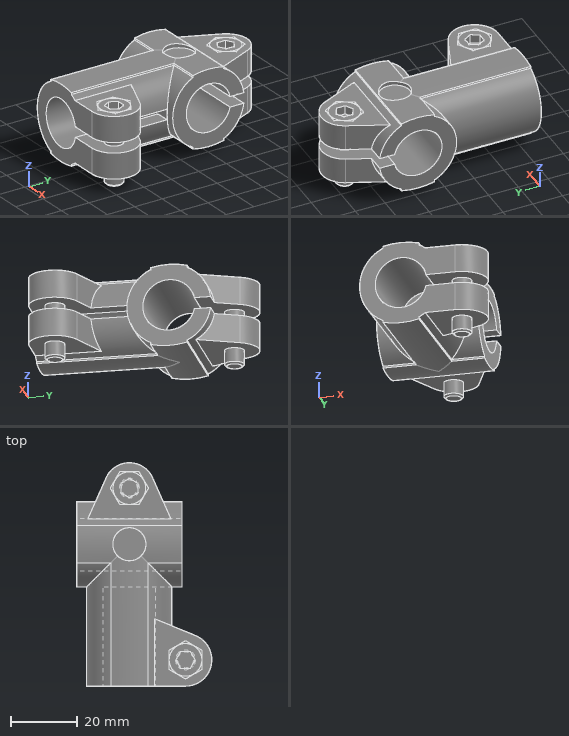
import cadquery as cq
import math

tube_radius = 13.0
bore_radius = 8.05
cross_half_length = 16.0
stem_end = -43.0
stem_bore_end = -tube_radius

strip_half_width = 5.6
strip_edge_height = 12.3

recess_diameter = 10.0
recess_floor = 11.5

lug_half_height = 10.5
slot_width = 3.5
bolt_offset = 17.0
cross_lug_radius = 7.7
stem_lug_radius = 8.0
stem_lug_width = 23.6

shank_diameter = 6.0
bolt_bottom = -15.5
bolt_chamfer = 0.6
head_diameter = 9.9
head_height = 6.0
pocket_flats = 10.0
socket_flats = 5.1
socket_depth = 3.0

cross_bolt = (0, bolt_offset)
stem_bolt = (bolt_offset, stem_end + stem_lug_radius)


def tube(plane, length):
    """Solid tube with its crowned top and bottom strips, extruded along the plane normal."""
    body = cq.Workplane(plane).circle(tube_radius).extrude(length)
    strips = (
        cq.Workplane(plane)
        .moveTo(-strip_half_width, -strip_edge_height)
        .threePointArc((0, -tube_radius), (strip_half_width, -strip_edge_height))
        .lineTo(strip_half_width, strip_edge_height)
        .threePointArc((0, tube_radius), (-strip_half_width, strip_edge_height))
        .close()
        .extrude(length)
    )
    return body.union(strips)


def tangent_point(start, center, radius, side):
    """Point where a line from start touches the circle; side +1 is to the left of start-to-center."""
    dx = center[0] - start[0]
    dy = center[1] - start[1]
    heading_back = math.atan2(-dy, -dx)
    angle = heading_back - side * math.acos(radius / math.hypot(dx, dy))
    return (center[0] + radius * math.cos(angle), center[1] + radius * math.sin(angle))


def lug(right_base, left_base, center, radius, outward):
    """Lug with straight sides running from two base points tangent to a rounded end."""
    tip = (center[0] + radius * outward[0], center[1] + radius * outward[1])
    return (
        cq.Workplane("XY", origin=(0, 0, -lug_half_height))
        .moveTo(*right_base)
        .lineTo(*tangent_point(right_base, center, radius, -1))
        .threePointArc(tip, tangent_point(left_base, center, radius, 1))
        .lineTo(*left_base)
        .close()
        .extrude(2 * lug_half_height)
    )


def hexagon(center, flats, flat_direction, depth):
    """Hexagonal prism cut down from the lug top; flat_direction (degrees) is square to two flats."""
    corner_to_flat = 30
    corner_diameter = flats / math.cos(math.radians(corner_to_flat))
    return (
        cq.Workplane("XY")
        .polygon(6, corner_diameter)
        .extrude(-depth)
        .rotate((0, 0, 0), (0, 0, 1), flat_direction - corner_to_flat)
        .translate((center[0], center[1], lug_half_height))
    )


def bolt(center, socket_direction):
    """Socket-head bolt with its head flush with the lug top."""
    head = (
        cq.Workplane("XY", origin=(*center, lug_half_height))
        .circle(head_diameter / 2)
        .extrude(-head_height)
    )
    shank = (
        cq.Workplane("XY", origin=(*center, bolt_bottom))
        .circle(shank_diameter / 2)
        .extrude(lug_half_height - head_height - bolt_bottom)
        .faces("<Z")
        .chamfer(bolt_chamfer)
    )
    return head.union(shank).cut(hexagon(center, socket_flats, socket_direction, socket_depth))


cross_plane = cq.Plane(origin=(-cross_half_length, 0, 0), xDir=(0, 1, 0), normal=(1, 0, 0))
stem_plane = cq.Plane(origin=(0, stem_end, 0), xDir=(-1, 0, 0), normal=(0, 1, 0))
body = tube(cross_plane, 2 * cross_half_length).union(tube(stem_plane, -stem_end))

cross_lug = lug((cross_half_length, 0), (-cross_half_length, 0), cross_bolt, cross_lug_radius, (0, 1))
stem_lug = lug((0, stem_end), (0, stem_end + stem_lug_width), stem_bolt, stem_lug_radius, (1, 0))
body = body.union(cross_lug).union(stem_lug)

stem_bore_depth = stem_bore_end - stem_end
body = body.cut(cq.Workplane(cross_plane).circle(bore_radius).extrude(2 * cross_half_length))
body = body.cut(cq.Workplane(stem_plane).circle(bore_radius).extrude(stem_bore_depth))

slot_reach = bolt_offset + stem_lug_radius
cross_slot = cq.Workplane("XY").box(2 * cross_half_length, slot_reach, slot_width, centered=(True, False, True))
stem_slot = (
    cq.Workplane("XY", origin=(0, stem_end, 0))
    .box(slot_reach, stem_bore_depth, slot_width, centered=(False, False, True))
)
body = body.cut(cross_slot).cut(stem_slot)

recess = (
    cq.Workplane("XY", origin=(0, 0, recess_floor))
    .circle(recess_diameter / 2)
    .extrude(tube_radius - recess_floor)
)
body = body.cut(recess)

for center, pocket_direction in ((cross_bolt, 90), (stem_bolt, 0)):
    body = body.cut(hexagon(center, pocket_flats, pocket_direction, head_height))
    body = body.union(bolt(center, pocket_direction + 90))

result = body